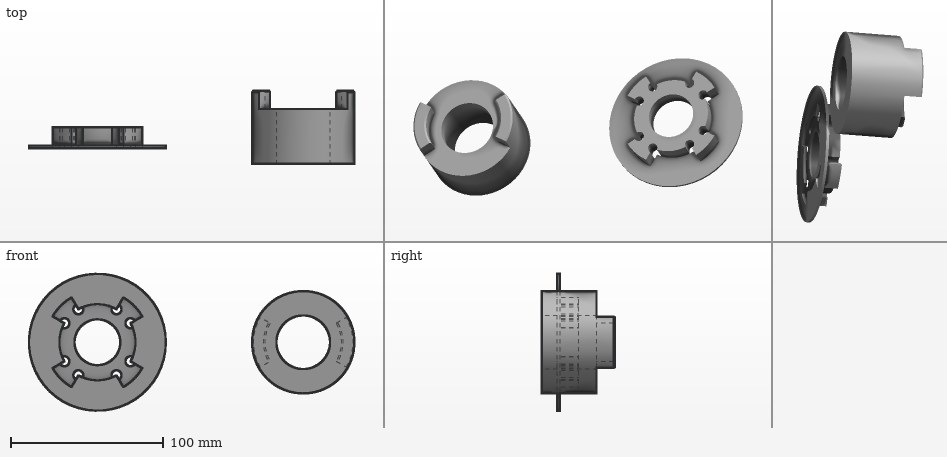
import cadquery as cq
import math

overall_length = 213.5

coupling_diameter = 67.3
coupling_bore_diameter = 35.0
coupling_body_length = 36.0
lug_length = 12.0
lug_inner_diameter = 50.0
lug_span_angle = 60
lug_chamfer = 1.0
lug_directions = (0, 180)

hub_root_diameter = 50.0
hub_arm_diameter = 68.0
hub_bore_diameter = 30.0
hub_length = 12.0
arm_span_angle = 30
arm_directions = (45, 135, 225, 315)
notch_diameter = 6.5

disc_diameter = 90.0
disc_thickness = 2.0
disc_front_y = 10.3
disc_back_y = disc_front_y + disc_thickness

disc_axis_x = disc_diameter / 2
coupling_axis_x = overall_length - coupling_diameter / 2


def polar_point(radius, angle):
    """Point in the XZ plane at an angle in degrees from +X toward +Z."""
    return radius * math.cos(math.radians(angle)), radius * math.sin(math.radians(angle))


def cylinder_along_y(diameter, length):
    """Cylinder on the Y axis from Y = 0 to Y = length."""
    return cq.Workplane("XZ").circle(diameter / 2).extrude(-length)


def wedge(radius, direction, span_angle, length):
    """Circular sector with its tip on the Y axis, from Y = 0 to Y = length."""
    return (
        cq.Workplane("XZ")
        .lineTo(*polar_point(radius, direction - span_angle / 2))
        .threePointArc(
            polar_point(radius, direction),
            polar_point(radius, direction + span_angle / 2),
        )
        .close()
        .extrude(-length)
    )


def hub_outline(length):
    """Root cylinder with the radial arms, without bore or notches."""
    outline = cylinder_along_y(hub_root_diameter, length)
    for direction in arm_directions:
        outline = outline.union(wedge(hub_arm_diameter / 2, direction, arm_span_angle, length))
    return outline


def make_disc():
    disc = cylinder_along_y(disc_diameter, disc_thickness).cut(hub_outline(disc_thickness))
    return disc.translate((disc_axis_x, disc_front_y, 0))


def make_hub():
    """Hub whose front face is level with the back face of the disc."""
    hub = hub_outline(hub_length).cut(cylinder_along_y(hub_bore_diameter, hub_length))
    notch = cylinder_along_y(notch_diameter, hub_length)
    for direction in arm_directions:
        for side in (-1, 1):
            x, z = polar_point(hub_root_diameter / 2, direction + side * arm_span_angle / 2)
            hub = hub.cut(notch.translate((x, 0, z)))
    return hub.translate((disc_axis_x, disc_back_y, 0))


def lug_ring():
    """Ring with both tip edges chamfered, from which the lugs are taken."""
    return (
        cylinder_along_y(coupling_diameter, lug_length)
        .cut(cylinder_along_y(lug_inner_diameter, lug_length))
        .faces(">Y")
        .edges()
        .chamfer(lug_chamfer)
    )


def make_coupling():
    body = cylinder_along_y(coupling_diameter, coupling_body_length)
    coupling = body.cut(cylinder_along_y(coupling_bore_diameter, coupling_body_length))
    ring = lug_ring()
    for direction in lug_directions:
        sector = wedge(coupling_diameter, direction, lug_span_angle, lug_length)
        lug = ring.intersect(sector)
        coupling = coupling.union(lug.translate((0, coupling_body_length, 0)))
    return coupling.translate((coupling_axis_x, 0, 0))


disc = make_disc()
hub = make_hub()
coupling = make_coupling()

result = cq.Compound.makeCompound([body.solids().val() for body in (disc, hub, coupling)])